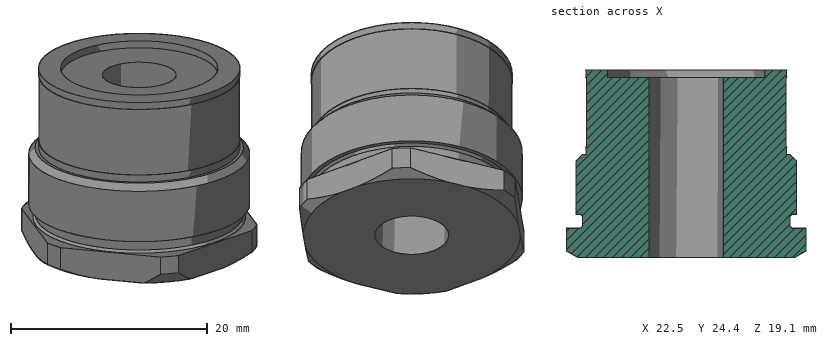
import cadquery as cq
import math

total_height = 19.1
bore_diameter = 7.5
recess_diameter = 16.0
recess_depth = 0.75

hex_sides = 6
hex_across_flats = 22.0
hex_corner_diameter = 24.39
hex_height = 3.0
corner_spacing = 360 / hex_sides

hex_chamfer_long_leg = 1.14
hex_chamfer_short_leg = hex_chamfer_long_leg * math.tan(math.radians(30))
steep_corner_angle = -30.0

neck_diameter = 21.16
neck_bevel = 0.25

collar_diameter = 22.5
collar_bottom = 4.4
collar_top = 10.5
collar_chamfer = 0.65

barrel_diameter = 20.4
band_diameter = 20.5
band_height = 0.75


def make_envelope_sector(chamfer_width, chamfer_height, start_angle, sweep_angle):
    """Sector of a disc that turns the hexagon corners and chamfers their lower edge."""
    corner_radius = hex_corner_diameter / 2
    sector = (
        cq.Workplane("XZ")
        .moveTo(0, 0)
        .lineTo(corner_radius - chamfer_width, 0)
        .lineTo(corner_radius, chamfer_height)
        .lineTo(corner_radius, hex_height)
        .lineTo(0, hex_height)
        .close()
        .revolve(sweep_angle, (0, 0), (0, 1))
    )
    return sector.rotate((0, 0, 0), (0, 0, 1), start_angle)


def make_hex_base():
    """Hexagon with turned corners, five with a shallow chamfer and one with a steep one."""
    corner_to_corner = hex_across_flats / math.cos(math.radians(corner_spacing / 2))
    hexagon = (
        cq.Workplane("XY")
        .polygon(hex_sides, corner_to_corner)
        .extrude(hex_height)
        .rotate((0, 0, 0), (0, 0, 1), corner_spacing / 2)
    )
    steep_start = steep_corner_angle - corner_spacing / 2
    steep_end = steep_corner_angle + corner_spacing / 2
    steep_sector = make_envelope_sector(
        hex_chamfer_short_leg, hex_chamfer_long_leg, steep_start, corner_spacing
    )
    shallow_sector = make_envelope_sector(
        hex_chamfer_long_leg, hex_chamfer_short_leg, steep_end, 360 - corner_spacing
    )
    return hexagon.intersect(shallow_sector.union(steep_sector))


def make_turned_body():
    """Revolved neck, collar and barrel above the hexagon."""
    neck_radius = neck_diameter / 2
    collar_radius = collar_diameter / 2
    band_radius = band_diameter / 2
    barrel_radius = barrel_diameter / 2
    bevel_radius = neck_radius + neck_bevel
    lower_band_top = collar_top + band_height
    upper_band_bottom = total_height - band_height
    profile = [
        (0, hex_height),
        (bevel_radius, hex_height),
        (neck_radius, hex_height + neck_bevel),
        (neck_radius, collar_bottom - neck_bevel),
        (bevel_radius, collar_bottom),
        (collar_radius, collar_bottom),
        (collar_radius, collar_top - collar_chamfer),
        (collar_radius - collar_chamfer, collar_top),
        (band_radius, collar_top),
        (band_radius, lower_band_top),
        (barrel_radius, lower_band_top),
        (barrel_radius, upper_band_bottom),
        (band_radius, upper_band_bottom),
        (band_radius, total_height),
        (0, total_height),
    ]
    return cq.Workplane("XZ").polyline(profile).close().revolve(360, (0, 0), (0, 1))


def cut_recess_and_bore(body):
    """Shallow round recess in the top face and a bore through the whole part."""
    recess = (
        cq.Workplane("XY")
        .workplane(offset=total_height - recess_depth)
        .circle(recess_diameter / 2)
        .extrude(recess_depth)
    )
    bore = cq.Workplane("XY").circle(bore_diameter / 2).extrude(total_height)
    return body.cut(recess).cut(bore)


result = cut_recess_and_bore(make_hex_base().union(make_turned_body()))